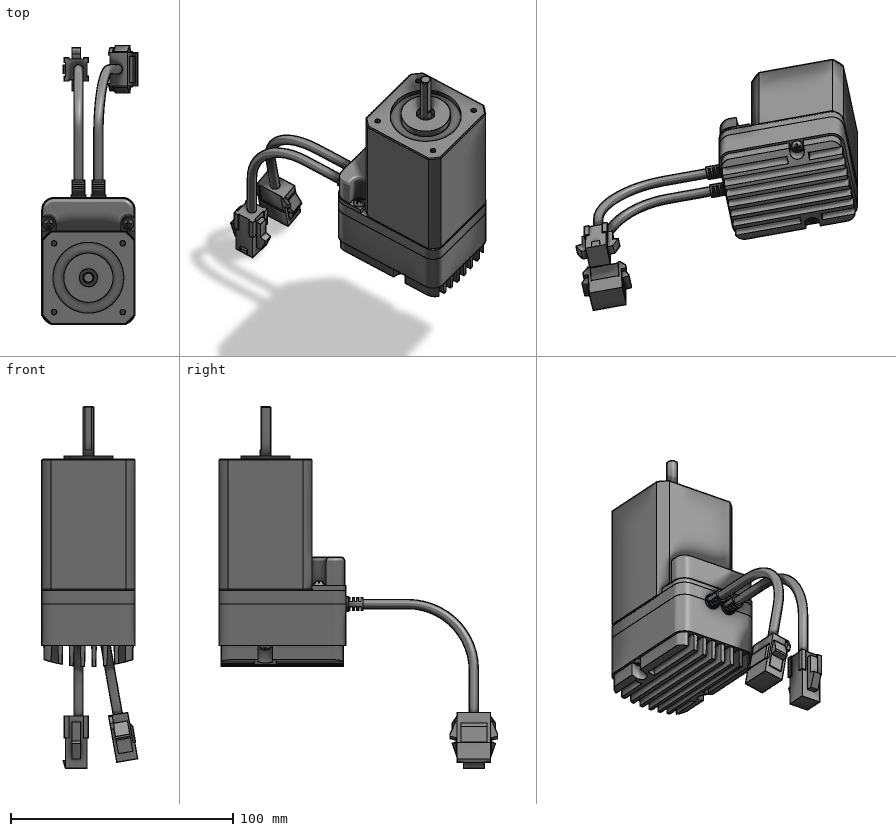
import cadquery as cq
import math


motor_width = 42.0
motor_height = 59.2
motor_flat_half = 17.0
motor_edge_chamfer = 0.5
boss_height = 1.5
boss_radius = 11.1
ring_groove_radius = 16.0
ring_groove_depth = 2.1
mount_hole_radius = 1.22
mount_hole_spacing = 31.0
mount_hole_depth = 4.5

shaft_diameter = 4.9
shaft_hole_radius = 4.0
shaft_hole_depth = 3.6
shaft_top_z = 82.8
shaft_flat_bottom_z = 63.2
shaft_flat_depth = 0.5
shaft_chamfer = 0.4

case_back_y = 36.2
case_corner_radius = 5.7
split_z = -6.2
base_bottom_z = -25.0
ledge_height = 2.3
bump_inset = 0.4
bump_top_z = 15.0
bump_fillet = 2.0

screw_x = 18.0
rear_screw_y = 24.1
screw_head_radius = 2.5
screw_head_height = 2.0
cross_slot_length = 3.0
cross_slot_width = 0.7
cross_slot_depth = 1.0
screw_clearance_radius = 3.3
pocket_corner_radius = 0.3

fin_inset = 1.0
fin_count = 8
fin_pitch = 5.0
fin_root_width = 2.1
fin_tip_width = 1.6
fin_tip_z = -34.4
fin_crown_radius = 65.2
screw_post_half = 4.9
screw_post_inner_x = 12.7

cable_spacing = 9.0
cable_diameter = 4.2
grommet_flange_radius = 3.5
grommet_flange_length = 1.1
grommet_radius = 3.0
grommet_length = 7.8
grommet_slot_count = 3
grommet_slot_width = 1.0
grommet_slot_pitch = 2.0
grommet_core_half = 1.22
cable_bend_start = 27.9
cable_bend_radius = 29.8
cable_drop = 20.5
side_cable_tilt = 10.0

plug_offset_x = -1.0
plug_size_x = 9.8
plug_size_y = 9.5
plug_length = 23.6
plug_rib_size_x = 11.0
plug_rib_size_y = 10.6
plug_rib_width = 2.3
plug_rib_length = 10.0
plug_latch_width = 3.9
plug_latch_top = 2.8
plug_lever_bottom = 11.4
plug_hook_top = 12.4
plug_hook_bottom = 19.4
plug_lever_reach = 7.0
plug_hook_reach = 9.8
plug_hook_heel_reach = 7.3
plug_tab_width = 3.7
plug_tab_reach = 1.06
plug_tab_top = 20.2

socket_left = -4.2
socket_right = 4.5
socket_depth = 15.2
socket_length = 21.4
socket_recess_depth = 0.7
socket_recess_half = 6.4
socket_recess_length = 11.4
socket_foot_right = 5.4
socket_foot_top = 13.9
socket_tongue_half = 5.9
socket_tongue_right = 5.7
socket_tongue_top = 4.9
socket_tongue_shoulder = 6.7
socket_latch_left = -2.8
socket_latch_right = 3.7
socket_latch_top = 3.7
socket_latch_top_reach = 8.2
socket_latch_reach = 10.8
socket_latch_tip_top = 9.8
socket_latch_tip_bottom = 10.8
socket_latch_bottom = 11.4
socket_pad_bottom = 17.6
socket_pad_height = 0.4
socket_guard_width = 1.6
socket_guard_top = 0.5
socket_guard_reach = 9.8
socket_guard_shoulder = 3.6
socket_guard_bottom = 6.2

motor_half = motor_width / 2
shaft_radius = shaft_diameter / 2
cable_radius = cable_diameter / 2
socket_half_depth = socket_depth / 2
case_depth = motor_half + case_back_y
case_center_y = (case_back_y - motor_half) / 2
shaft_hole_floor_z = motor_height + boss_height - shaft_hole_depth


def block(x0, x1, y0, y1, z0, z1):
    """Box between two opposite corners."""
    return cq.Workplane("XY").box(x1 - x0, y1 - y0, z1 - z0, centered=False).translate((x0, y0, z0))


def disc(radius, z0, z1, x=0, y=0):
    """Upright cylinder between two heights."""
    return cq.Workplane("XY").circle(radius).extrude(z1 - z0).translate((x, y, z0))


def case_prism(inset, z0, z1):
    """Upright prism with the case outline, offset inwards by the inset."""
    prism = cq.Workplane("XY").rect(motor_width - 2 * inset, case_depth - 2 * inset).extrude(z1 - z0)
    prism = prism.edges("|Z").fillet(case_corner_radius - inset)
    return prism.translate((0, case_center_y, z0))


def screw_head():
    """Domed head standing on z = 0, with a cross recess."""
    head = (
        cq.Workplane("XZ")
        .lineTo(screw_head_radius, 0)
        .threePointArc(
            (screw_head_radius * math.cos(math.pi / 4), screw_head_height * math.sin(math.pi / 4)),
            (0, screw_head_height),
        )
        .close()
        .revolve(360, (0, 0, 0), (0, 1, 0))
    )
    for length_x, length_y in (
        (cross_slot_length, cross_slot_width),
        (cross_slot_width, cross_slot_length),
    ):
        slot = cq.Workplane("XY").rect(length_x, length_y).extrude(screw_head_height)
        head = head.cut(slot.translate((0, 0, screw_head_height - cross_slot_depth)))
    return head


def make_shaft():
    shaft = disc(shaft_radius, shaft_hole_floor_z, shaft_top_z).faces(">Z").chamfer(shaft_chamfer)
    flat_y = shaft_flat_depth - shaft_radius
    return shaft.cut(
        block(-shaft_radius, shaft_radius, -shaft_radius, flat_y, shaft_flat_bottom_z, shaft_top_z)
    )


def make_motor():
    corner_radius = math.hypot(motor_half, motor_flat_half)
    body = block(-motor_half, motor_half, -motor_half, motor_half, 0, motor_height)
    body = body.intersect(disc(corner_radius, 0, motor_height))
    body = body.faces("<Z or >Z").chamfer(motor_edge_chamfer)

    groove_floor_z = motor_height - ring_groove_depth
    body = body.cut(disc(ring_groove_radius, groove_floor_z, motor_height))
    body = body.union(disc(boss_radius, groove_floor_z, motor_height + boss_height))

    body = body.cut(disc(shaft_hole_radius, shaft_hole_floor_z, motor_height + boss_height))
    hole_reach = mount_hole_spacing / 2
    for x in (-hole_reach, hole_reach):
        for y in (-hole_reach, hole_reach):
            body = body.cut(disc(mount_hole_radius, motor_height - mount_hole_depth, motor_height, x, y))
    return body.union(make_shaft())


def make_plate():
    return case_prism(0, split_z, 0)


def make_cap():
    cap = case_prism(0, 0, ledge_height)
    bump = case_prism(bump_inset, ledge_height, bump_top_z)

    pocket_inner_x = screw_x - screw_clearance_radius
    pocket_back_y = rear_screw_y + screw_clearance_radius
    pocket = block(pocket_inner_x, motor_half, 0, pocket_back_y, ledge_height, bump_top_z)
    pocket = pocket.edges("|Z and <X and >Y").fillet(screw_clearance_radius)
    bump = bump.cut(pocket).cut(pocket.mirror("YZ"))

    motor_side = block(-motor_half, motor_half, -motor_half, motor_half, 0, bump_top_z)
    cap = cap.cut(motor_side)
    bump = bump.cut(motor_side)

    side_x = motor_half - bump_inset
    for x in (-side_x, side_x):
        corner = cq.selectors.NearestToPointSelector((x, pocket_back_y, (ledge_height + bump_top_z) / 2))
        bump = bump.edges(corner).fillet(pocket_corner_radius)
    top_edges = bump.faces(">Z").edges()
    motor_side_edge = top_edges.edges("<Y").val()
    bump = top_edges.filter(lambda edge: edge.Center().y > motor_side_edge.Center().y).fillet(bump_fillet)
    cap = cap.union(bump)

    for x in (-screw_x, screw_x):
        cap = cap.union(screw_head().translate((x, rear_screw_y, ledge_height)))
    return cap


def make_base():
    base = case_prism(0, base_bottom_z, split_z)

    fins = cq.Workplane("XY")
    for i in range(fin_count):
        x = (i - (fin_count - 1) / 2) * fin_pitch
        fin = (
            cq.Workplane("XZ", origin=(0, case_back_y, 0))
            .polyline([
                (x - fin_root_width / 2, base_bottom_z),
                (x + fin_root_width / 2, base_bottom_z),
                (x + fin_tip_width / 2, fin_tip_z),
                (x - fin_tip_width / 2, fin_tip_z),
            ])
            .close()
            .extrude(case_depth)
        )
        fins = fins.add(fin)
    fins = fins.combine()
    outer_fin_x = (fin_count - 1) / 2 * fin_pitch
    edge_fin = block(outer_fin_x, motor_half, -motor_half, case_back_y, fin_tip_z, base_bottom_z)
    fins = fins.union(edge_fin).union(edge_fin.mirror("YZ"))

    post = block(
        screw_post_inner_x, motor_half, -screw_post_half, screw_post_half, fin_tip_z, base_bottom_z,
    )
    fins = fins.union(post).union(post.mirror("YZ"))

    crown = (
        cq.Workplane("XZ", origin=(0, case_back_y, fin_tip_z + fin_crown_radius))
        .circle(fin_crown_radius)
        .extrude(case_depth)
    )
    fins = fins.intersect(case_prism(fin_inset, fin_tip_z, base_bottom_z)).intersect(crown)

    notch = disc(screw_clearance_radius, fin_tip_z, base_bottom_z, screw_x)
    notch = notch.union(block(
        screw_x, motor_half, -screw_clearance_radius, screw_clearance_radius, fin_tip_z, base_bottom_z,
    ))
    fins = fins.cut(notch).cut(notch.mirror("YZ"))
    base = base.union(fins)
    for x in (-screw_x, screw_x):
        head = screw_head().rotate((0, 0, 0), (1, 0, 0), 180)
        base = base.union(head.translate((x, 0, base_bottom_z)))
    return base


def hang_on_cable(body, side):
    """Place a body made around a cable outlet at the origin: side -1 hangs straight, +1 is tilted."""
    tilt = side_cable_tilt if side > 0 else 0
    body = body.rotate((0, 0, 0), (0, 1, 0), -tilt)
    return body.translate((side * cable_spacing / 2, case_back_y, split_z))


def make_cable(side):
    grommet = cq.Workplane("XZ").circle(grommet_radius).extrude(-grommet_length)
    for i in range(grommet_slot_count):
        slot_y = grommet_length - (i + 1) * grommet_slot_pitch
        ring = block(
            -grommet_radius, grommet_radius, slot_y, slot_y + grommet_slot_width,
            grommet_core_half, grommet_radius,
        )
        grommet = grommet.cut(ring).cut(ring.mirror("XY"))
    flange = cq.Workplane("XZ").circle(grommet_flange_radius).extrude(-grommet_flange_length)
    grommet = grommet.union(flange).translate((side * cable_spacing / 2, case_back_y, split_z))

    bend_end_y = cable_bend_start + cable_bend_radius
    path = (
        cq.Workplane("YZ")
        .moveTo(grommet_length, 0)
        .lineTo(cable_bend_start, 0)
        .radiusArc((bend_end_y, -cable_bend_radius), cable_bend_radius)
        .lineTo(bend_end_y, -cable_bend_radius - cable_drop)
    )
    cord = cq.Workplane("XZ", origin=(0, grommet_length, 0)).circle(cable_radius).sweep(path)
    return grommet.union(hang_on_cable(cord, side))


def to_cable_end(connector, side):
    """Move a connector from its own frame to the lower end of a cable."""
    end = (0, cable_bend_start + cable_bend_radius, -cable_bend_radius - cable_drop)
    return hang_on_cable(connector.translate(end), side)


def side_prism(points, x0, x1):
    """Prism along X over a list of (y, z) points."""
    return cq.Workplane("YZ", origin=(x0, 0, 0)).polyline(points).close().extrude(x1 - x0)


def make_plug():
    half_x = plug_size_x / 2
    half_y = plug_size_y / 2
    plug = block(-half_x, half_x, -half_y, half_y, -plug_length, 0)

    rib_x = plug_rib_size_x / 2
    rib_y = plug_rib_size_y / 2
    rib = block(rib_x - plug_rib_width, rib_x, rib_y - plug_rib_width, rib_y, -plug_rib_length, 0)
    for corner in (rib, rib.mirror("YZ")):
        plug = plug.union(corner).union(corner.mirror("XZ"))

    latch = side_prism([
        (half_y, -plug_latch_top),
        (plug_lever_reach, -plug_latch_top),
        (plug_lever_reach, -plug_lever_bottom),
        (plug_hook_reach, -plug_hook_top),
        (plug_hook_heel_reach, -plug_hook_bottom),
        (half_y, -plug_hook_bottom),
    ], -plug_latch_width / 2, plug_latch_width / 2)
    plug = plug.union(latch).union(latch.mirror("XZ"))

    tab = (
        cq.Workplane("XZ", origin=(0, plug_tab_width / 2, 0))
        .polyline([
            (-half_x, -plug_tab_top),
            (-half_x - plug_tab_reach, -plug_tab_top),
            (-half_x, -plug_length),
        ])
        .close()
        .extrude(plug_tab_width)
    )
    return plug.union(tab).translate((plug_offset_x, 0, 0))


def make_socket():
    half = socket_half_depth
    socket = block(socket_left, socket_right, -half, half, -socket_length, 0)
    recess_right = socket_left + socket_recess_depth
    socket = socket.cut(block(
        socket_left, recess_right, -socket_recess_half, socket_recess_half, -socket_recess_length, 0,
    ))

    socket = socket.union(block(
        socket_right, socket_foot_right, -half, half, -socket_length, -socket_foot_top,
    ))
    tongue = (
        cq.Workplane("XZ", origin=(0, socket_tongue_half, 0))
        .polyline([
            (socket_right, -socket_tongue_top),
            (socket_tongue_right, -socket_tongue_shoulder),
            (socket_tongue_right, -socket_foot_top),
            (socket_right, -socket_foot_top),
        ])
        .close()
        .extrude(2 * socket_tongue_half)
    )
    socket = socket.union(tongue)

    pad_reach = half + socket_pad_height
    latch = side_prism([
        (half, -socket_latch_top),
        (socket_latch_top_reach, -socket_latch_top),
        (socket_latch_reach, -socket_latch_tip_top),
        (socket_latch_reach, -socket_latch_tip_bottom),
        (pad_reach, -socket_latch_bottom),
        (pad_reach, -socket_pad_bottom),
        (half, -socket_pad_bottom),
    ], socket_latch_left, socket_latch_right)
    guard = side_prism([
        (half, -socket_guard_top),
        (socket_guard_reach, -socket_guard_shoulder),
        (socket_guard_reach, -socket_guard_bottom),
        (half, -socket_guard_bottom),
    ], socket_left, socket_left + socket_guard_width)
    for part in (latch, guard):
        socket = socket.union(part).union(part.mirror("XZ"))
    return socket


motor = make_motor()
plate = make_plate()
cap = make_cap()
base = make_base()
cables = [make_cable(side) for side in (-1, 1)]
plug = to_cable_end(make_plug(), -1)
socket = to_cable_end(make_socket(), 1)

result = cq.Compound.makeCompound([
    motor.val(),
    plate.val(),
    cap.val(),
    base.val(),
    *[cable.val() for cable in cables],
    plug.val(),
    socket.val(),
])